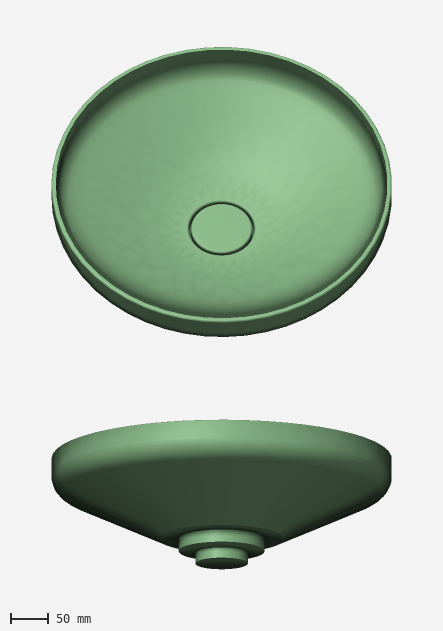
import cadquery as cq
import math

BASIN_RADIUS = 225.0
TOTAL_HEIGHT = 144.0

BASE_RADIUS = 82.5
BASE_Z = 33.5
KNEE_TOP_Z = TOTAL_HEIGHT - 25.5
KNEE_RADIUS = 27.0
RIM_ROUND = 2.5

WALL = 6.0
BOWL_SLOPE = math.radians(24)
BOWL_KNEE_TOP_Z = TOTAL_HEIGHT - 23.0
BOWL_KNEE_RADIUS = 24.5
BOWL_MIDDLE_RADIUS = 90.0
BOWL_MIDDLE_Z = 51.5
FLOOR_Z = 45.0
DRAIN_HOLE_RADIUS = 43.0
SEAT_Z = BASE_Z
DRAIN_HOLE_ROUND = 3.0

COLLAR_RADIUS = 56.5
COLLAR_BOTTOM_Z = BASE_Z - 16.5
COLLAR_TAPER_HEIGHT = 2.5

TAILPIPE_RADIUS = 34.5

STOPPER_RADIUS = 40.5
STOPPER_ROUND = 2.5
STOPPER_EDGE_Z = FLOOR_Z
STOPPER_DOME = 1.0


def revolve(profile):
    """Turn a closed half profile, drawn as (radius, z), about the Z axis."""
    return profile.close().revolve(360, (0, 0, 0), (0, 1, 0))


def slope_from_knee(top_z, wall_radius, knee_radius, slope):
    """End point of a knee that turns an upright wall into a cone of the given slope."""
    radius = wall_radius - knee_radius * (1 - math.sin(slope))
    return radius, top_z - knee_radius * math.cos(slope)


def outer_slope():
    """Slope of the outer cone, tangent to the knee and ending at the base edge."""
    run = BASIN_RADIUS - KNEE_RADIUS - BASE_RADIUS
    rise = KNEE_TOP_Z - BASE_Z
    return math.atan2(rise, run) - math.asin(KNEE_RADIUS / math.hypot(run, rise))


def make_basin():
    outer_knee_end = slope_from_knee(KNEE_TOP_Z, BASIN_RADIUS, KNEE_RADIUS, outer_slope())
    bowl_radius = BASIN_RADIUS - WALL
    inner_knee_end = slope_from_knee(BOWL_KNEE_TOP_Z, bowl_radius, BOWL_KNEE_RADIUS, BOWL_SLOPE)

    profile = (
        cq.Workplane("XZ")
        .moveTo(DRAIN_HOLE_RADIUS, SEAT_Z)
        .lineTo(TAILPIPE_RADIUS, SEAT_Z)
        .lineTo(TAILPIPE_RADIUS, COLLAR_BOTTOM_Z - COLLAR_TAPER_HEIGHT)
        .lineTo(COLLAR_RADIUS, COLLAR_BOTTOM_Z)
        .lineTo(COLLAR_RADIUS, BASE_Z)
        .lineTo(BASE_RADIUS, BASE_Z)
        .lineTo(*outer_knee_end)
        .tangentArcPoint((BASIN_RADIUS, KNEE_TOP_Z), relative=False)
        .lineTo(BASIN_RADIUS, TOTAL_HEIGHT - RIM_ROUND)
        .tangentArcPoint((BASIN_RADIUS - RIM_ROUND, TOTAL_HEIGHT), relative=False)
        .lineTo(bowl_radius, TOTAL_HEIGHT)
        .lineTo(bowl_radius, BOWL_KNEE_TOP_Z)
        .tangentArcPoint(inner_knee_end, relative=False)
        .spline(
            [(BOWL_MIDDLE_RADIUS, BOWL_MIDDLE_Z), (DRAIN_HOLE_RADIUS + DRAIN_HOLE_ROUND, FLOOR_Z)],
            tangents=[(-math.cos(BOWL_SLOPE), -math.sin(BOWL_SLOPE)), (-1, 0)],
            includeCurrent=True,
        )
        .tangentArcPoint((DRAIN_HOLE_RADIUS, FLOOR_Z - DRAIN_HOLE_ROUND), relative=False)
    )
    return revolve(profile)


def make_tailpipe():
    return cq.Workplane("XY").circle(TAILPIPE_RADIUS).extrude(SEAT_Z)


def make_stopper():
    top_radius = STOPPER_RADIUS - STOPPER_ROUND
    dome_radius = (top_radius**2 + STOPPER_DOME**2) / (2 * STOPPER_DOME)
    apex_z = STOPPER_EDGE_Z + STOPPER_DOME
    half_way = top_radius / 2
    half_way_z = apex_z - dome_radius + math.sqrt(dome_radius**2 - half_way**2)
    profile = (
        cq.Workplane("XZ")
        .moveTo(0, SEAT_Z)
        .lineTo(STOPPER_RADIUS, SEAT_Z)
        .lineTo(STOPPER_RADIUS, STOPPER_EDGE_Z - STOPPER_ROUND)
        .tangentArcPoint((top_radius, STOPPER_EDGE_Z), relative=False)
        .threePointArc((half_way, half_way_z), (0, apex_z))
    )
    return revolve(profile)


basin = make_basin()
tailpipe = make_tailpipe()
stopper = make_stopper()

result = cq.Compound.makeCompound([basin.val(), tailpipe.val(), stopper.val()])